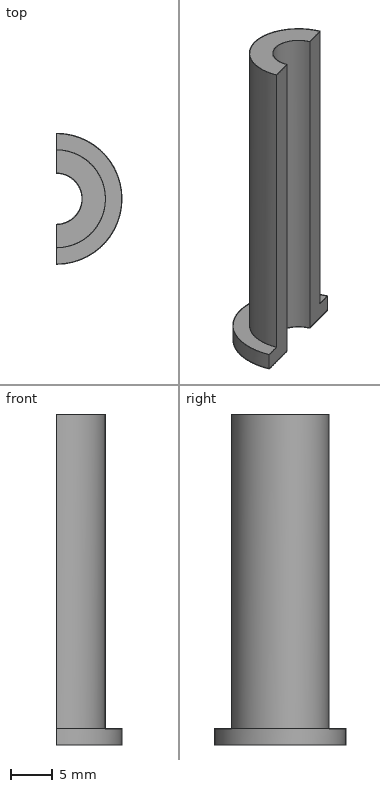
import cadquery as cq

total_height = 40.0
flange_height = 2.0
flange_radius = 7.9
sleeve_radius = 5.9
bore_radius = 3.1


def half_cylinder(radius, height):
    """Half cylinder standing on the XY plane, on the +X side of the Z axis."""
    return (
        cq.Workplane("XY")
        .moveTo(0, -radius)
        .threePointArc((radius, 0), (0, radius))
        .close()
        .extrude(height)
    )


flange = half_cylinder(flange_radius, flange_height)
sleeve = half_cylinder(sleeve_radius, total_height)
bore = half_cylinder(bore_radius, total_height)

result = flange.union(sleeve).cut(bore)